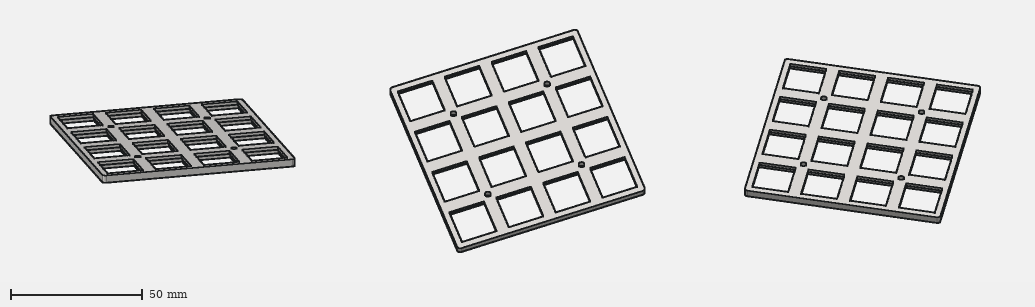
import cadquery as cq

plate_side = 76.2
plate_thickness = 3.0
corner_radius = 1.2

windows_per_side = 4
window_pitch = plate_side / windows_per_side
window_side = 14.0

lip_thickness = 1.4
relief_depth = 0.47
relief_side = window_side + 2 * relief_depth
relief_height = plate_thickness - lip_thickness

hole_diameter = 2.2
hole_spacing = 2 * window_pitch


def make_plate():
    """Plate resting on Z = 0 with rounded vertical corners."""
    plate = cq.Workplane("XY").box(
        plate_side, plate_side, plate_thickness, centered=(True, True, False)
    )
    return plate.edges("|Z").fillet(corner_radius)


def square_grid(side, height):
    """Square blocks standing on Z = 0, one at each window position."""
    return (
        cq.Workplane("XY")
        .rarray(window_pitch, window_pitch, windows_per_side, windows_per_side)
        .rect(side, side)
        .extrude(height)
    )


def cut_windows(plate):
    """Cut the through windows and the wider relief below each lip."""
    windows = square_grid(window_side, plate_thickness)
    reliefs = square_grid(relief_side, relief_height)
    return plate.cut(windows).cut(reliefs)


def drill_screw_holes(plate):
    """Drill the four through holes on a centred square."""
    return (
        plate.faces(">Z")
        .workplane(origin=(0, 0, 0))
        .rarray(hole_spacing, hole_spacing, 2, 2)
        .hole(hole_diameter)
    )


result = drill_screw_holes(cut_windows(make_plate()))